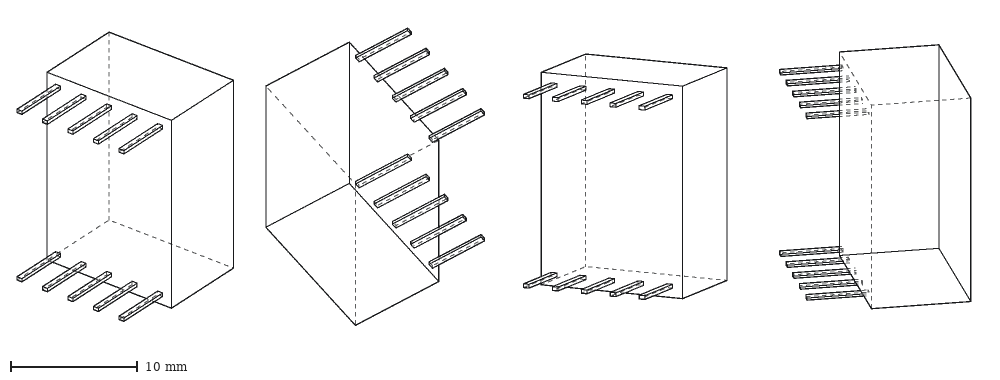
import cadquery as cq

body_width = 12.4
body_height = 17.1
total_depth = 13.0
pin_length = 5.0
body_depth = total_depth - pin_length

row_count = 2
pins_per_row = 5
pin_width = 0.5
pin_thickness = 0.3
row_spacing = 15.24
pin_pitch = row_spacing / 6


def make_body():
    return cq.Workplane("XY").box(
        body_width, body_depth, body_height, centered=(True, False, True)
    )


def make_pins():
    return (
        cq.Workplane("XZ")
        .rarray(pin_pitch, row_spacing, pins_per_row, row_count)
        .rect(pin_width, pin_thickness)
        .extrude(pin_length)
    )


result = make_body().union(make_pins())